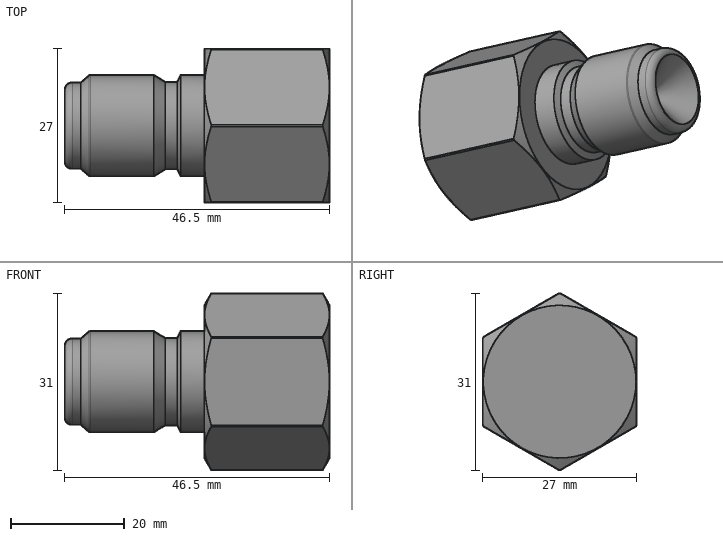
import cadquery as cq
import math

total_length = 46.5
hex_length = 22.0
hex_start = total_length - hex_length

hex_across_flats = 27.0
hex_corner_diameter = 31.0
hex_face_diameter = 26.8
hex_chamfer_angle = 30.0

tip_diameter = 15.2
groove_diameter = 15.4
barrel_diameter = 17.8

tip_round_radius = 1.3
tip_end = 2.85
barrel_start = 4.35
barrel_end = 15.65
barrel_edge_radius = 0.3
groove_start = 17.65
groove_end = 19.75
collar_start = 20.35

selection_margin = 0.1

recess_diameter = 12.5
recess_cone_angle = 90.0


def revolve_about_x(profile):
    """Revolve a closed (x, radius) profile of the XY plane about the X axis."""
    return profile.close().revolve(360, (0, 0, 0), (1, 0, 0))


def make_plug():
    """Turned plug: rounded tip, barrel, locking groove and collar."""
    tip_radius = tip_diameter / 2
    groove_radius = groove_diameter / 2
    barrel_radius = barrel_diameter / 2
    arc_offset = tip_round_radius * (1 - math.sqrt(0.5))
    profile = (
        cq.Workplane("XY")
        .moveTo(0, 0)
        .lineTo(0, tip_radius - tip_round_radius)
        .threePointArc(
            (arc_offset, tip_radius - arc_offset),
            (tip_round_radius, tip_radius),
        )
        .lineTo(tip_end, tip_radius)
        .lineTo(barrel_start, barrel_radius)
        .lineTo(barrel_end, barrel_radius)
        .lineTo(groove_start, groove_radius)
        .lineTo(groove_end, groove_radius)
        .lineTo(collar_start, barrel_radius)
        .lineTo(hex_start, barrel_radius)
        .lineTo(hex_start, 0)
    )
    plug = revolve_about_x(profile)
    barrel_front_edge = cq.selectors.BoxSelector(
        (barrel_start - selection_margin, -barrel_diameter, -barrel_diameter),
        (barrel_start + selection_margin, barrel_diameter, barrel_diameter),
        boundingbox=True,
    )
    return plug.edges(barrel_front_edge).fillet(barrel_edge_radius)


def make_hex_body():
    """Hexagon with corners up and down, turned round and chamfered at both ends."""
    hexagon = (
        cq.Workplane("YZ", origin=(hex_start, 0, 0))
        .polygon(6, hex_across_flats, circumscribed=True)
        .extrude(hex_length)
    )
    face_radius = hex_face_diameter / 2
    corner_radius = hex_corner_diameter / 2
    chamfer_length = (corner_radius - face_radius) * math.tan(math.radians(hex_chamfer_angle))
    turned_blank = revolve_about_x(
        cq.Workplane("XY")
        .moveTo(hex_start, 0)
        .lineTo(hex_start, face_radius)
        .lineTo(hex_start + chamfer_length, corner_radius)
        .lineTo(total_length - chamfer_length, corner_radius)
        .lineTo(total_length, face_radius)
        .lineTo(total_length, 0)
    )
    return hexagon.intersect(turned_blank)


def make_recess():
    """Cone sunk into the tip face, pointing along +X."""
    recess_radius = recess_diameter / 2
    recess_depth = recess_radius / math.tan(math.radians(recess_cone_angle / 2))
    profile = (
        cq.Workplane("XY")
        .moveTo(0, 0)
        .lineTo(0, recess_radius)
        .lineTo(recess_depth, 0)
    )
    return revolve_about_x(profile)


result = make_plug().union(make_hex_body()).cut(make_recess())